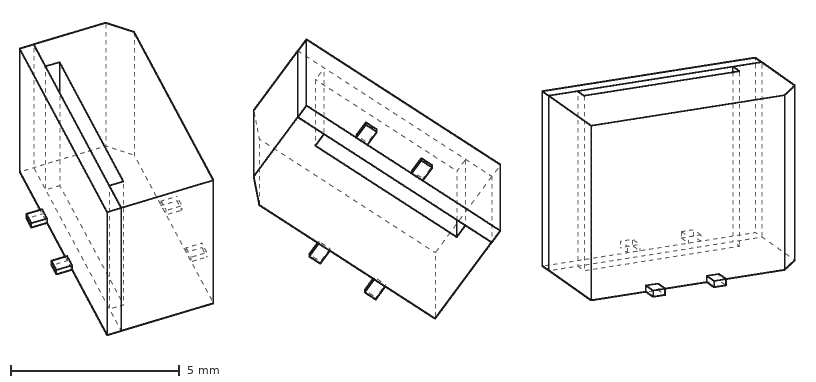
import cadquery as cq

total_width = 7.0
total_depth = 4.4
height = 5.5

side_offset = 0.005
block_width = total_width - side_offset
housing_left = -total_width / 2
plate_left = housing_left + side_offset

pin_length = 0.5
pin_width = 0.4
pin_height = 0.2
pin_pitch = 1.0
pin_count = 4

body_front = -total_depth / 2 + pin_length
body_back = total_depth / 2 - pin_length
plate_thickness = 0.45
housing_front = body_front + plate_thickness

corner_chamfer = 0.65
slot_width = 5.1
slot_depth = 0.45


def corner_box(width, depth, tall, left, front):
    """Box standing on Z = 0, placed by its lowest X and lowest Y."""
    return cq.Workplane("XY").box(width, depth, tall, centered=False).translate((left, front, 0))


def make_housing():
    """Block with one chamfered back corner and a full-height slot open to the front."""
    block = corner_box(block_width, body_back - housing_front, height, housing_left, housing_front)
    block = block.edges("|Z and <X and >Y").chamfer(corner_chamfer)
    slot_left = housing_left + (block_width - slot_width) / 2
    slot = corner_box(slot_width, slot_depth, height, slot_left, housing_front)
    return block.cut(slot)


def make_front_plate():
    """Flat plate that closes the front of the slot."""
    return corner_box(block_width, plate_thickness, height, plate_left, body_front)


def make_pin(center_x, front):
    """Small bar lying on the bottom plane, with one end against the body."""
    return corner_box(pin_width, pin_length, pin_height, center_x - pin_width / 2, front)


def make_pins():
    """Pins at an even pitch, alternately on the front and the back."""
    pins = []
    for index in range(pin_count):
        center_x = (index - (pin_count - 1) / 2) * pin_pitch
        on_front = index % 2 == 0
        front = body_front - pin_length if on_front else body_back
        pins.append(make_pin(center_x, front))
    return pins


housing = make_housing()
front_plate = make_front_plate()
pins = make_pins()

result = cq.Compound.makeCompound([housing.val(), front_plate.val(), *[pin.val() for pin in pins]])